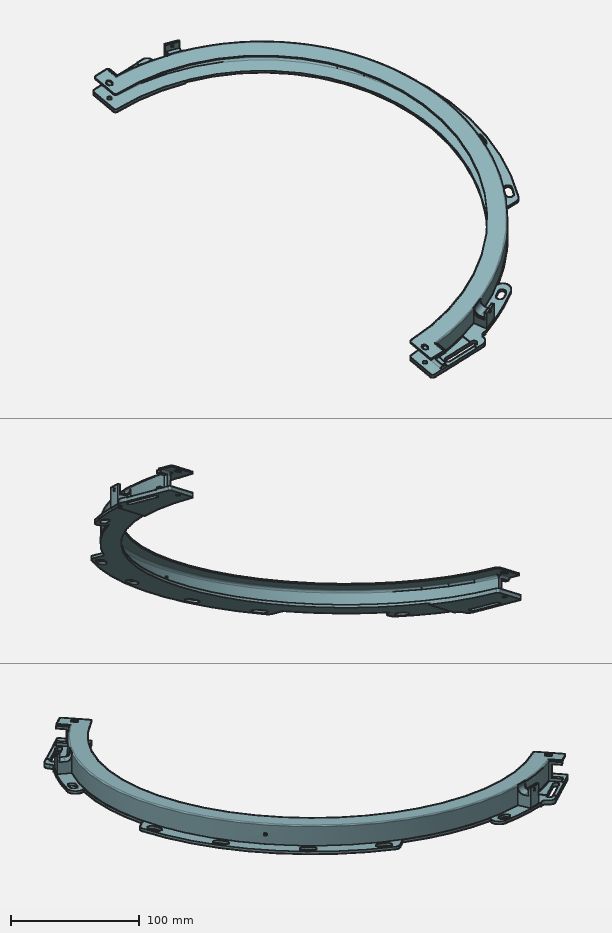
import cadquery as cq
import math

HEIGHT = 20.73
SHEET = 1.2
BASE_BOTTOM = SHEET
BASE_TOP = 3 * SHEET
TOP_UNDERSIDE = HEIGHT - SHEET

INNER_RADIUS = 175.0
WEB_RADIUS = 190.8
WEB_THICKNESS = 1.7
WEB_INNER_RADIUS = WEB_RADIUS - WEB_THICKNESS
BASE_RADIUS = WEB_RADIUS + 0.4
LUG_RADIUS = 203.2
BEND_RADIUS = 2.2
TOP_EDGE_RADIUS = 1.1
WEB_HOLE_DIAMETER = 2.4

HALF_WIDTH = 405.01 / 2
TOP_TAB_HALF_WIDTH = 200.5
TOP_TAB_LENGTH = 13.6
END_WALL_FRONT = 12.0
END_WALL_BACK = 15.6
END_WINDOW_X = 192.3
END_CORNER = 2.0
SCREW_X = 187.8
SCREW_Y = 5.0
SCREW_SLOT = (6.0, 4.0)
SCREW_HOLE_DIAMETER = 3.5

FOOT_LENGTH = 62.5
SHOULDER_X = math.sqrt(LUG_RADIUS ** 2 - FOOT_LENGTH ** 2)
SHOULDER_Y = 57.0
SHOULDER_OUTER_CORNER = 5.0
SHOULDER_INNER_CORNER = 4.0
FOOT_SLOT_X = 196.9
FOOT_SLOT_START = 18.3
FOOT_SLOT_END = 50.0
FOOT_SLOT_WIDTH = 4.9
RECESS_END = 45.7
RECESS_DEPTH = 0.4

REAR_LUG_HALF_WIDTH = 103.0
REAR_LUG_CORNER = 5.0
REAR_SLOT_ANGLES = (62.5, 79.9)
REAR_SLOT = (13.0, 6.8)
SIDE_LUG_ANGLE = 31.3
SIDE_NOSE_RADIUS = 6.6
SIDE_SLOT_ANGLE = 29.7
SIDE_SLOT = (11.0, 6.5)
LUG_SLOT_RADIUS = 197.0

BLOCK_START_ANGLE = 18.7
BLOCK_END_ANGLE = 22.1
BLOCK_RADIUS = LUG_RADIUS - 0.7
BLOCK_TOP = HEIGHT - 0.3
BLOCK_RIM = 2.0
GROOVE_FLOOR = 13.5
GROOVE_FILLET = 5.0
GROOVE_STEP_ANGLE = 0.35
RIM_HOLE_ANGLE = 20.4
RIM_HOLE_Z = 17.3
RIM_HOLE_DIAMETER = 2.2


def box(x0, x1, y0, y1, z0, z1):
    return cq.Workplane("XY").box(x1 - x0, y1 - y0, z1 - z0, centered=False).translate((x0, y0, z0))


def prism(plan, bottom, top):
    """Extrude a plan outline, given on the XY plane, between two levels."""
    return plan.extrude(top - bottom).translate((0, 0, bottom))


def polar(radius, angle):
    return (radius * math.cos(math.radians(angle)), radius * math.sin(math.radians(angle)))


def half_ring(inner, outer, bottom, top):
    plan = (
        cq.Workplane("XY").moveTo(inner, 0).lineTo(outer, 0)
        .threePointArc((0, outer), (-outer, 0)).lineTo(-inner, 0)
        .threePointArc((0, inner), (inner, 0)).close()
    )
    return prism(plan, bottom, top)


def both_sides(shape):
    return shape.union(shape.mirror("YZ"))


def tangential_slot(angle, size):
    center = polar(LUG_SLOT_RADIUS, angle)
    return cq.Workplane("XY").center(*center).slot2D(*size, angle + 90).extrude(HEIGHT)


def swept(section, start, end):
    """Revolve a radial section about Z from one angle to another."""
    return section.revolve(end - start, (0, 0, 0), (0, 1, 0)).rotate((0, 0, 0), (0, 0, 1), start)


def channel():
    """Half ring of C section with the base plate as its lower flange."""
    flange_bend = WEB_INNER_RADIUS - BEND_RADIUS
    section = (
        cq.Workplane("XZ")
        .moveTo(INNER_RADIUS, BASE_BOTTOM)
        .lineTo(BASE_RADIUS, BASE_BOTTOM)
        .lineTo(BASE_RADIUS, BASE_TOP)
        .lineTo(WEB_RADIUS, BASE_TOP)
        .lineTo(WEB_RADIUS, HEIGHT - TOP_EDGE_RADIUS)
        .radiusArc((WEB_RADIUS - TOP_EDGE_RADIUS, HEIGHT), -TOP_EDGE_RADIUS)
        .lineTo(INNER_RADIUS, HEIGHT)
        .lineTo(INNER_RADIUS, TOP_UNDERSIDE)
        .lineTo(flange_bend, TOP_UNDERSIDE)
        .radiusArc((WEB_INNER_RADIUS, TOP_UNDERSIDE - BEND_RADIUS), BEND_RADIUS)
        .lineTo(WEB_INNER_RADIUS, BASE_TOP + BEND_RADIUS)
        .radiusArc((flange_bend, BASE_TOP), BEND_RADIUS)
        .lineTo(INNER_RADIUS, BASE_TOP)
        .close()
    )
    ring = swept(section, 0, 180)
    web_hole = (
        cq.Workplane("XZ").center(0, (BASE_TOP + TOP_UNDERSIDE) / 2)
        .circle(WEB_HOLE_DIAMETER / 2).extrude(-BASE_RADIUS)
    )
    gap = box(INNER_RADIUS, HALF_WIDTH, 0, END_WALL_FRONT, BASE_TOP, TOP_UNDERSIDE)
    return ring.cut(web_hole).cut(both_sides(gap))


def rear_lug():
    ring = half_ring(WEB_INNER_RADIUS, LUG_RADIUS, BASE_BOTTOM, BASE_TOP)
    limits = box(-REAR_LUG_HALF_WIDTH, REAR_LUG_HALF_WIDTH, 0, LUG_RADIUS, 0, HEIGHT)
    lug = ring.intersect(limits)
    for side in (">X", "<X"):
        lug = lug.edges("|Z").edges(side).edges(">Y").fillet(REAR_LUG_CORNER)
    for angle in REAR_SLOT_ANGLES:
        lug = lug.cut(both_sides(tangential_slot(angle, REAR_SLOT)))
    return lug


def side_lug():
    """Plate along the rim that joins the foot and ends in a round nose."""
    nose_center = polar(LUG_RADIUS - SIDE_NOSE_RADIUS, SIDE_LUG_ANGLE)
    start_angle = math.degrees(math.atan2(FOOT_LENGTH, SHOULDER_X))
    middle_angle = (start_angle + SIDE_LUG_ANGLE) / 2
    plan = (
        cq.Workplane("XY")
        .moveTo(*polar(WEB_INNER_RADIUS, start_angle))
        .lineTo(SHOULDER_X, FOOT_LENGTH)
        .threePointArc(polar(LUG_RADIUS, middle_angle), polar(LUG_RADIUS, SIDE_LUG_ANGLE))
        .lineTo(*polar(WEB_INNER_RADIUS, SIDE_LUG_ANGLE))
        .threePointArc(polar(WEB_INNER_RADIUS, middle_angle), polar(WEB_INNER_RADIUS, start_angle))
        .close()
    )
    nose = cq.Workplane("XY").center(*nose_center).circle(SIDE_NOSE_RADIUS)
    lug = prism(plan, BASE_BOTTOM, BASE_TOP).union(prism(nose, BASE_BOTTOM, BASE_TOP))
    return lug.cut(tangential_slot(SIDE_SLOT_ANGLE, SIDE_SLOT))


def foot():
    """Thickened end of the base plate with a long adjustment slot."""
    inner_x = math.sqrt(INNER_RADIUS ** 2 - FOOT_LENGTH ** 2)
    middle = polar(INNER_RADIUS, math.degrees(math.asin(FOOT_LENGTH / INNER_RADIUS)) / 2)
    plan = (
        cq.Workplane("XY")
        .moveTo(INNER_RADIUS, 0)
        .lineTo(HALF_WIDTH, 0)
        .lineTo(HALF_WIDTH, SHOULDER_Y)
        .lineTo(SHOULDER_X, SHOULDER_Y)
        .lineTo(SHOULDER_X, FOOT_LENGTH)
        .lineTo(inner_x, FOOT_LENGTH)
        .threePointArc(middle, (INNER_RADIUS, 0))
        .close()
    )
    block = prism(plan, 0, BASE_TOP)
    outer_corner = cq.selectors.NearestToPointSelector((HALF_WIDTH, SHOULDER_Y, BASE_TOP / 2))
    inner_corner = cq.selectors.NearestToPointSelector((SHOULDER_X, SHOULDER_Y, BASE_TOP / 2))
    block = block.edges("|Z").edges(outer_corner).fillet(SHOULDER_OUTER_CORNER)
    block = block.edges("|Z").edges(inner_corner).fillet(SHOULDER_INNER_CORNER)
    slot = (
        cq.Workplane("XY").center(FOOT_SLOT_X, (FOOT_SLOT_START + FOOT_SLOT_END) / 2)
        .slot2D(FOOT_SLOT_END - FOOT_SLOT_START, FOOT_SLOT_WIDTH, 90).extrude(BASE_TOP)
    )
    recess = box(INNER_RADIUS, HALF_WIDTH, END_WALL_BACK, RECESS_END, BASE_TOP - RECESS_DEPTH, BASE_TOP)
    return block.cut(slot).cut(recess)


def end_tab():
    """Top flange tab and the wall that turns outwards from the web."""
    tab = box(WEB_INNER_RADIUS - BEND_RADIUS, TOP_TAB_HALF_WIDTH, 0, TOP_TAB_LENGTH, TOP_UNDERSIDE, HEIGHT)
    profile = (
        cq.Workplane("YZ")
        .moveTo(END_WALL_BACK, BASE_TOP)
        .lineTo(END_WALL_BACK, TOP_UNDERSIDE)
        .lineTo(END_WALL_FRONT - BEND_RADIUS, TOP_UNDERSIDE)
        .radiusArc((END_WALL_FRONT, TOP_UNDERSIDE - BEND_RADIUS), BEND_RADIUS)
        .lineTo(END_WALL_FRONT, BASE_TOP + BEND_RADIUS)
        .radiusArc((END_WALL_FRONT - BEND_RADIUS, BASE_TOP), BEND_RADIUS)
        .close()
    )
    wall = profile.extrude(TOP_TAB_HALF_WIDTH - WEB_INNER_RADIUS).translate((WEB_INNER_RADIUS, 0, 0))
    footing = box(
        WEB_INNER_RADIUS, TOP_TAB_HALF_WIDTH, END_WALL_FRONT, END_WALL_BACK, BASE_BOTTOM, BASE_TOP
    )
    window = box(
        END_WINDOW_X, HALF_WIDTH, 0, END_WALL_BACK, BASE_TOP + BEND_RADIUS, TOP_UNDERSIDE - BEND_RADIUS
    )
    return tab.union(wall.cut(window)).union(footing)


def groove_section(floor):
    """Radial section of the groove: flat floor, fillet up to the web, open top."""
    rim = BLOCK_RADIUS - BLOCK_RIM
    return (
        cq.Workplane("XZ")
        .moveTo(rim, HEIGHT)
        .lineTo(rim, floor)
        .lineTo(WEB_RADIUS + GROOVE_FILLET, floor)
        .radiusArc((WEB_RADIUS, floor + GROOVE_FILLET), GROOVE_FILLET)
        .lineTo(WEB_RADIUS, HEIGHT)
        .close()
    )


def grooved_block():
    body = (
        cq.Workplane("XZ").moveTo(WEB_INNER_RADIUS, BASE_BOTTOM).lineTo(BLOCK_RADIUS, BASE_BOTTOM)
        .lineTo(BLOCK_RADIUS, BLOCK_TOP).lineTo(WEB_INNER_RADIUS, BLOCK_TOP).close()
    )
    block = swept(body, BLOCK_START_ANGLE, BLOCK_END_ANGLE)
    groove = swept(groove_section(GROOVE_FLOOR), BLOCK_START_ANGLE, BLOCK_END_ANGLE)
    step = swept(
        groove_section(GROOVE_FLOOR - SHEET), BLOCK_START_ANGLE, BLOCK_START_ANGLE + GROOVE_STEP_ANGLE
    )
    rim_middle = BLOCK_RADIUS - BLOCK_RIM / 2
    rim_hole = (
        cq.Workplane("YZ").workplane(offset=rim_middle).center(0, RIM_HOLE_Z)
        .circle(RIM_HOLE_DIAMETER / 2).extrude(BLOCK_RIM, both=True)
        .rotate((0, 0, 0), (0, 0, 1), RIM_HOLE_ANGLE)
    )
    return block.cut(groove).cut(step).cut(rim_hole)


def screw_holes():
    upper = cq.Workplane("XY").center(SCREW_X, SCREW_Y).slot2D(*SCREW_SLOT)
    lower = cq.Workplane("XY").center(SCREW_X, SCREW_Y).circle(SCREW_HOLE_DIAMETER / 2)
    return prism(upper, BASE_TOP, HEIGHT).union(prism(lower, 0, BASE_TOP))


def end_corners(body):
    """Round all upright corners at the ends of the ring."""
    return body.edges("|Z").edges("<Y").fillet(END_CORNER)


side_features = foot().union(side_lug()).union(end_tab()).union(grooved_block())
result = channel().union(rear_lug()).union(both_sides(side_features)).cut(both_sides(screw_holes()))
result = end_corners(result)